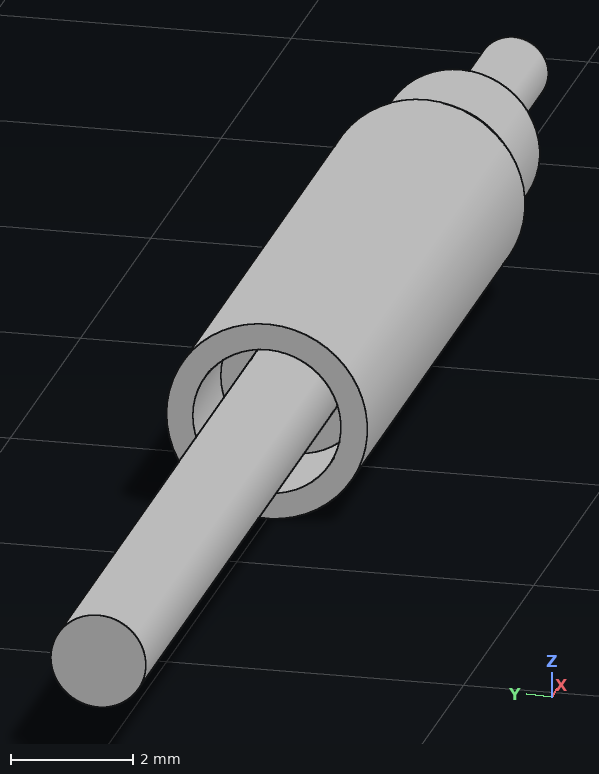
import cadquery as cq

total_length = 29.7
sleeve_start = 12.0
sleeve_length = 11.23
taper_length = 0.8
collar_length = 1.7

tail_diameter = 1.6
sleeve_diameter = 3.4
sleeve_bore_diameter = 2.5
collar_diameter = 2.7
tip_diameter = 1.2

bore_depth = 2.0
tip_round_radius = 0.2

taper_start = sleeve_start + sleeve_length
collar_start = taper_start + taper_length
collar_end = collar_start + collar_length

profile = [
    (0, 0),
    (0, tail_diameter / 2),
    (sleeve_start + bore_depth, tail_diameter / 2),
    (sleeve_start + bore_depth, sleeve_bore_diameter / 2),
    (sleeve_start, sleeve_bore_diameter / 2),
    (sleeve_start, sleeve_diameter / 2),
    (taper_start, sleeve_diameter / 2),
    (collar_start, collar_diameter / 2),
    (collar_end, collar_diameter / 2),
    (collar_end, tip_diameter / 2),
    (total_length, tip_diameter / 2),
    (total_length, 0),
]

pin = cq.Workplane("XY").polyline(profile).close().revolve(360, (0, 0, 0), (1, 0, 0))

result = pin.faces(">X").edges().fillet(tip_round_radius)